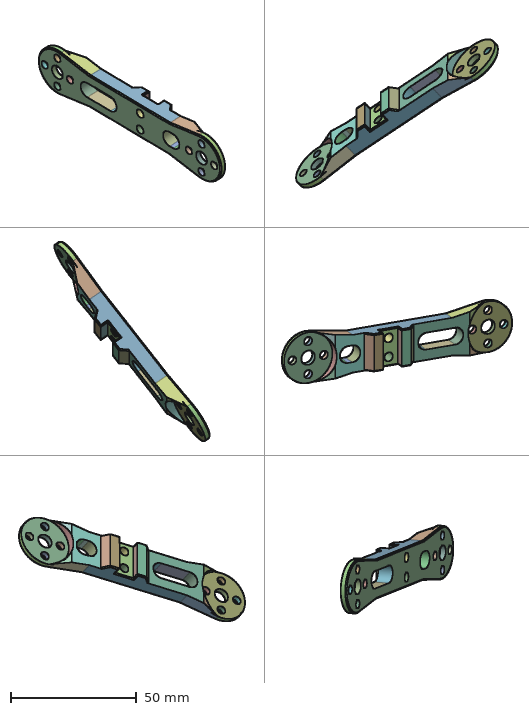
import cadquery as cq
import math

length = 101.5
height = 21.5
end_radius = height / 2
end_x = length / 2 - end_radius
waist_x = 22.1
waist_half = 8.0
edge_chamfer = 0.5

end_thickness = 2.5
body_thickness = 6.4
total_thickness = 9.5
ramp_top_x = 29.9

saddle_x = 6.0
notch_half = 4.1
notch_floor = 6.1
saddle_top_half = 8.2
saddle_base_half = 11.0
saddle_root = 3.0

screw_diameter = 3.5
screw_circle_radius = 7.0
centre_diameter = 6.0
saddle_hole_diameter = 3.8
saddle_hole_z = 4.01
slot_width = 7.1
long_slot_x = -17.1
long_slot_length = 20.0
short_slot_x = 23.2
short_slot_length = 9.0

corner_distance = math.hypot(end_x - waist_x, waist_half)
tangent_angle = math.atan2(waist_half, waist_x - end_x) - math.acos(end_radius / corner_distance)
tangent_x = end_x + end_radius * math.cos(tangent_angle)
tangent_z = end_radius * math.sin(tangent_angle)


def back_plane(y=0.0):
    """XZ plane at the given Y, with extrusion toward +Y and local x reversed."""
    return cq.Workplane(cq.Plane(origin=(0, y, 0), xDir=(-1, 0, 0), normal=(0, 1, 0)))


def make_outline():
    """Dog-bone plate, chamfered along its front edge."""
    plate = (
        back_plane()
        .moveTo(-waist_x, waist_half)
        .lineTo(waist_x, waist_half)
        .lineTo(tangent_x, tangent_z)
        .threePointArc((length / 2, 0), (tangent_x, -tangent_z))
        .lineTo(waist_x, -waist_half)
        .lineTo(-waist_x, -waist_half)
        .lineTo(-tangent_x, -tangent_z)
        .threePointArc((-length / 2, 0), (-tangent_x, tangent_z))
        .close()
        .extrude(body_thickness)
    )
    return plate.faces("<Y").chamfer(edge_chamfer)


def make_body():
    """Plate thinned at both ends by ramps and round clearances."""
    side_profile = (
        cq.Workplane("XY")
        .polyline([
            (-length / 2, 0),
            (length / 2, 0),
            (length / 2, end_thickness),
            (tangent_x, end_thickness),
            (ramp_top_x, body_thickness),
            (-ramp_top_x, body_thickness),
            (-tangent_x, end_thickness),
            (-length / 2, end_thickness),
        ])
        .close()
        .extrude(end_radius, both=True)
    )
    clearances = (
        back_plane(end_thickness)
        .pushPoints([(-end_x, 0), (end_x, 0)])
        .circle(end_radius)
        .extrude(body_thickness)
    )
    return make_outline().intersect(side_profile).cut(clearances)


def make_saddle():
    """Two sloped lugs with a notch between, chamfered along both side faces."""
    slope_run = (saddle_base_half - saddle_top_half) / (total_thickness - body_thickness)
    root_half = saddle_top_half + slope_run * (total_thickness - saddle_root)
    saddle = (
        cq.Workplane("XY")
        .center(saddle_x, 0)
        .polyline([
            (-root_half, saddle_root),
            (-saddle_top_half, total_thickness),
            (-notch_half, total_thickness),
            (-notch_half, notch_floor),
            (notch_half, notch_floor),
            (notch_half, total_thickness),
            (saddle_top_half, total_thickness),
            (root_half, saddle_root),
        ])
        .close()
        .extrude(waist_half, both=True)
    )
    return saddle.faces("<Z or >Z").edges("not <Y").chamfer(edge_chamfer)


def saddle_seat():
    """Body material replaced by the chamfered notch of the saddle."""
    seat_length = 2 * (notch_half + edge_chamfer)
    return (
        cq.Workplane("XY")
        .box(seat_length, body_thickness, height, centered=(True, False, True))
        .translate((saddle_x, saddle_root, 0))
    )


def make_holes():
    """All through holes and slots."""
    holes = cq.Workplane("XZ")
    for x in (-end_x, end_x):
        holes = holes.union(back_plane().center(x, 0).circle(centre_diameter / 2).extrude(total_thickness))
        screws = (
            back_plane()
            .center(x, 0)
            .polarArray(screw_circle_radius, 0, 360, 4)
            .circle(screw_diameter / 2)
            .extrude(total_thickness)
        )
        holes = holes.union(screws)
    for x, slot_length in ((long_slot_x, long_slot_length), (short_slot_x, short_slot_length)):
        holes = holes.union(back_plane().center(-x, 0).slot2D(slot_length, slot_width).extrude(total_thickness))
    saddle_holes = (
        back_plane()
        .pushPoints([(-saddle_x, -saddle_hole_z), (-saddle_x, saddle_hole_z)])
        .circle(saddle_hole_diameter / 2)
        .extrude(total_thickness)
    )
    return holes.union(saddle_holes)


result = make_body().cut(saddle_seat()).union(make_saddle()).cut(make_holes())